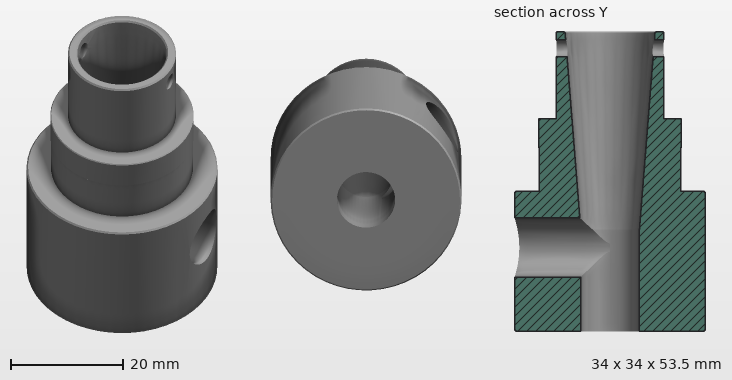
import cadquery as cq

height = 53.5
body_diameter = 34.0
body_top = 25.05
neck_diameter = 25.35
collar_diameter = 25.55
collar_bottom = 32.85
collar_top = 38.0
tube_diameter = 19.25
edge_chamfer = 0.25
collar_chamfer = 0.15

throat_diameter = 10.4
mouth_diameter = 15.95
mouth_chamfer = 0.25
taper_bottom = 18.2

pin_hole_diameter = 3.0
pin_hole_drop = 3.0
port_diameter = 10.5
port_height = 15.0


def cylinder(diameter, bottom, top):
    return cq.Workplane("XY").workplane(offset=bottom).circle(diameter / 2).extrude(top - bottom)


def stepped_outside():
    body = cylinder(body_diameter, 0, body_top).faces("<Z or >Z").chamfer(edge_chamfer)
    neck = cylinder(neck_diameter, body_top, collar_bottom)
    collar = cylinder(collar_diameter, collar_bottom, collar_top).faces(">Z").chamfer(collar_chamfer)
    tube = cylinder(tube_diameter, collar_top, height).faces(">Z").chamfer(edge_chamfer)
    return body.union(neck).union(collar).union(tube)


def bore():
    throat_radius = throat_diameter / 2
    mouth_radius = mouth_diameter / 2
    return (
        cq.Workplane("XZ")
        .lineTo(throat_radius, 0)
        .lineTo(throat_radius, taper_bottom)
        .lineTo(mouth_radius, height - mouth_chamfer)
        .lineTo(mouth_radius + mouth_chamfer, height)
        .lineTo(0, height)
        .close()
        .revolve(360, (0, 0), (0, 1))
    )


def pin_hole():
    """Hole along X through both walls of the tube."""
    return (
        cq.Workplane("YZ")
        .center(0, height - pin_hole_drop)
        .circle(pin_hole_diameter / 2)
        .extrude(tube_diameter, both=True)
    )


def side_port():
    """Round port from the +X side of the body into the bore."""
    return cq.Workplane("YZ").center(0, port_height).circle(port_diameter / 2).extrude(body_diameter)


result = stepped_outside().cut(bore()).cut(pin_hole()).cut(side_port())